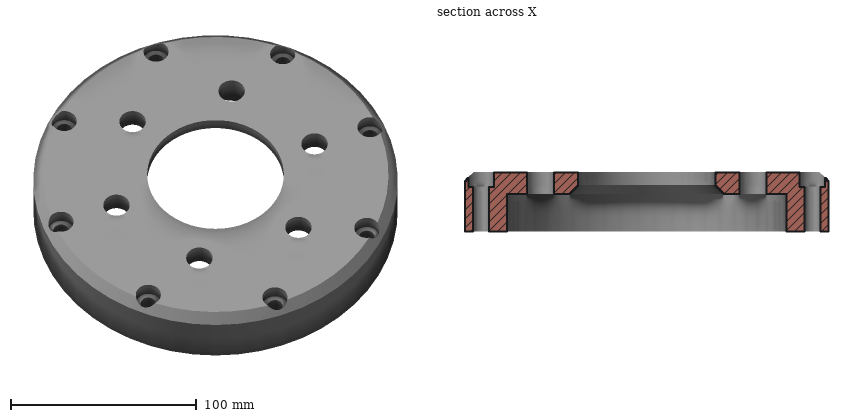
import cadquery as cq

outer_diameter = 196.0
height = 32.0
rim_chamfer = 5.0

bore_diameter = 73.5
bore_land = 7.0
flare = 5.0

web_thickness = bore_land + flare
recess_diameter = 150.0

stud_count = 6
stud_hole_diameter = 14.2
stud_circle_diameter = 114.3
stud_start_angle = 90.0

screw_count = 8
screw_hole_diameter = 8.4
screw_circle_diameter = 178.0
screw_start_angle = -0.22
counterbore_diameter = 13.5
counterbore_depth = 8.0


def make_plate():
    plate = cq.Workplane("XY").circle(outer_diameter / 2).extrude(height)
    return plate.faces(">Z").edges().chamfer(rim_chamfer)


def cut_recess(plate):
    recess = cq.Workplane("XY").circle(recess_diameter / 2).extrude(height - web_thickness)
    return plate.cut(recess)


def cut_bore(plate):
    bore = cq.Workplane("XY").circle(bore_diameter / 2).extrude(height)
    flare_cone = (
        cq.Workplane("XY")
        .workplane(offset=height - web_thickness)
        .circle(bore_diameter / 2 + flare)
        .workplane(offset=flare)
        .circle(bore_diameter / 2)
        .loft()
    )
    return plate.cut(bore).cut(flare_cone)


def cut_stud_holes(plate):
    return (
        plate.faces(">Z")
        .workplane(origin=(0, 0, height))
        .polarArray(stud_circle_diameter / 2, stud_start_angle, 360, stud_count)
        .hole(stud_hole_diameter)
    )


def cut_screw_holes(plate):
    return (
        plate.faces(">Z")
        .workplane(origin=(0, 0, height))
        .polarArray(screw_circle_diameter / 2, screw_start_angle, 360, screw_count)
        .cboreHole(screw_hole_diameter, counterbore_diameter, counterbore_depth)
    )


result = make_plate()
result = cut_recess(result)
result = cut_bore(result)
result = cut_stud_holes(result)
result = cut_screw_holes(result)